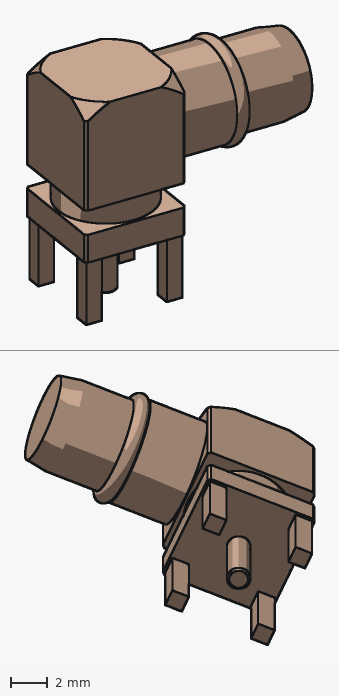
import cadquery as cq


total_length = 14.76
total_height = 13.51

body_size = 6.35
corner_flat = 0.16
top_circle_diameter = 7.12

neck_diameter = 6.0
neck_height = 1.5
flange_height = 1.72
leg_width = 0.98
leg_pitch = 5.08
pin_diameter = 1.28
pin_chamfer = 0.12

barrel_diameter = 6.0
barrel_length = 3.34
ring_diameter = 6.38
ring_thickness = 0.86
nose_diameter = 5.33
tip_diameter = 4.91
tip_length = 1.24

body_bottom = flange_height + neck_height
body_top = body_bottom + body_size
barrel_axis_height = body_bottom + body_size / 2
ring_top = barrel_axis_height + ring_diameter / 2
leg_length = total_height - max(body_top, ring_top)
body_back = body_size / 2
nose_end = total_length - body_size / 2


def square_block(bottom, height):
    """Square block on the Z axis with chamfered vertical corners."""
    return (
        cq.Workplane("XY")
        .workplane(offset=bottom)
        .rect(body_size, body_size)
        .extrude(height)
        .edges("|Z")
        .chamfer(corner_flat)
    )


def make_body():
    """Cube whose top corners are cut back by a 45 degree cone."""
    top_radius = top_circle_diameter / 2
    envelope = (
        cq.Workplane("XZ")
        .moveTo(0, body_bottom)
        .lineTo(top_radius + body_size, body_bottom)
        .lineTo(top_radius, body_top)
        .lineTo(0, body_top)
        .close()
        .revolve(360, (0, 0, 0), (0, 1, 0))
    )
    return square_block(body_bottom, body_size).intersect(envelope)


def make_neck():
    return cq.Workplane("XY").workplane(offset=flange_height).circle(neck_diameter / 2).extrude(neck_height)


def make_legs():
    return (
        cq.Workplane("XY")
        .rarray(leg_pitch, leg_pitch, 2, 2)
        .rect(leg_width, leg_width)
        .extrude(-leg_length)
    )


def make_pin():
    return (
        cq.Workplane("XY")
        .circle(pin_diameter / 2)
        .extrude(-leg_length)
        .faces("<Z")
        .edges()
        .chamfer(pin_chamfer)
    )


def make_barrel():
    """Barrel, round-nosed ring, nose and tapered tip, turned about the Y direction."""
    ring_start = body_back + barrel_length
    ring_end = ring_start + ring_thickness
    ring_wall_radius = (ring_diameter - ring_thickness) / 2
    taper_start = nose_end - tip_length
    return (
        cq.Workplane("XY")
        .workplane(offset=barrel_axis_height)
        .moveTo(0, body_back)
        .lineTo(barrel_diameter / 2, body_back)
        .lineTo(barrel_diameter / 2, ring_start)
        .lineTo(ring_wall_radius, ring_start)
        .threePointArc(
            (ring_diameter / 2, ring_start + ring_thickness / 2),
            (ring_wall_radius, ring_end),
        )
        .lineTo(nose_diameter / 2, ring_end)
        .lineTo(nose_diameter / 2, taper_start)
        .lineTo(tip_diameter / 2, nose_end)
        .lineTo(0, nose_end)
        .close()
        .revolve(360, (0, 0, 0), (0, 1, 0))
    )


result = (
    make_body()
    .union(make_neck())
    .union(square_block(0, flange_height))
    .union(make_legs())
    .union(make_pin())
    .union(make_barrel())
)